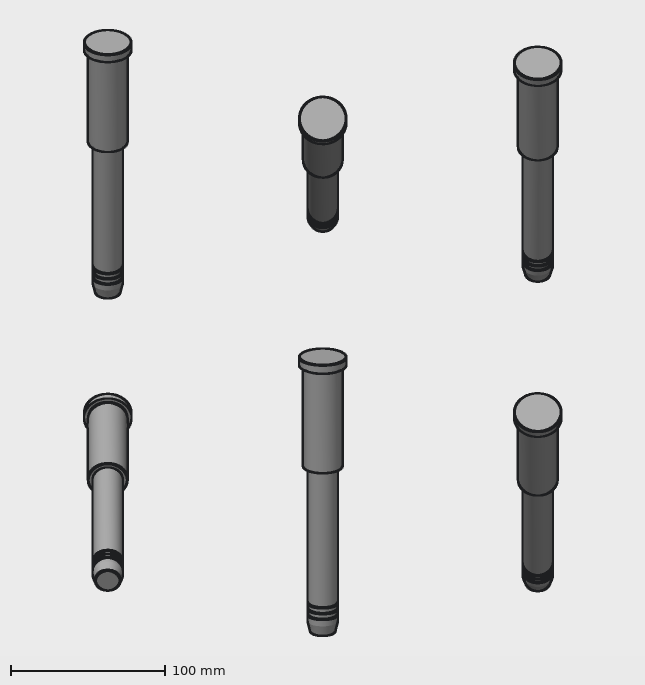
import cadquery as cq

total_length = 191.0
head_height = 6.0
body_bottom = 114.6
nose_height = 7.5

head_radius = 15.5
body_radius = 13.0
pin_radius = 10.0
tip_radius = 8.2

head_chamfer = 0.5
body_chamfer = 0.5
tip_chamfer = 0.5
undercut_width = 1.3
undercut_depth = 0.2

groove_count = 3
groove_pitch = 4.0
groove_radius = 0.5
lowest_groove = 12.5

head_bottom = total_length - head_height


def cylinder(radius, bottom, top):
    """Solid cylinder about Z between two levels."""
    return cq.Workplane("XY").workplane(offset=bottom).circle(radius).extrude(top - bottom)


def round_groove_cutter(level):
    """Torus that cuts a half-round groove into the pin, centred on a level."""
    return cq.Workplane(
        cq.Solid.makeTorus(pin_radius, groove_radius, cq.Vector(0, 0, level), cq.Vector(0, 0, 1))
    )


nose = (
    cq.Workplane("XY").circle(tip_radius)
    .workplane(offset=nose_height).circle(pin_radius)
    .loft(ruled=True)
    .faces("<Z").chamfer(tip_chamfer)
)

pin = cylinder(pin_radius, nose_height, body_bottom)
body = cylinder(body_radius, body_bottom, head_bottom).faces("<Z").chamfer(body_chamfer)
head = cylinder(head_radius, head_bottom, total_length).faces(">Z").chamfer(head_chamfer)
result = nose.union(pin).union(body).union(head)

undercut_bottom = head_bottom - undercut_width
undercut_ring = cylinder(head_radius, undercut_bottom, head_bottom).cut(
    cylinder(body_radius - undercut_depth, undercut_bottom, head_bottom)
)
result = result.cut(undercut_ring)

for index in range(groove_count):
    result = result.cut(round_groove_cutter(lowest_groove + index * groove_pitch))